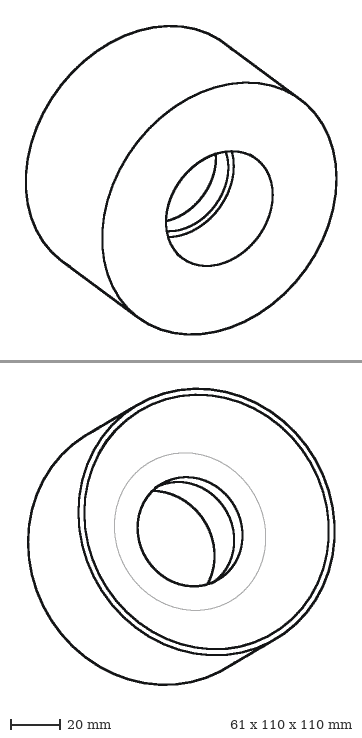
import cadquery as cq
import math

outer_diameter = 110.0
width = 61.0
left_face = -width / 2
right_face = width / 2

rim_thickness = 2.5
floor_diameter = 65.0
outer_radius = outer_diameter / 2
floor_radius = floor_diameter / 2
rim_radius = outer_radius - rim_thickness
dish_radius = rim_radius - floor_radius
floor_position = left_face + dish_radius

narrow_bore_diameter = 45.0
wide_bore_diameter = 50.0
narrow_bore_length = 10.0
narrow_bore_radius = narrow_bore_diameter / 2
wide_bore_radius = wide_bore_diameter / 2
step_position = floor_position + narrow_bore_length

dish_offset = dish_radius * math.sqrt(0.5)
dish_midpoint = (left_face + dish_offset, floor_radius + dish_offset)

half_section = (
    cq.Workplane("XY")
    .moveTo(left_face, outer_radius)
    .lineTo(left_face, rim_radius)
    .threePointArc(dish_midpoint, (floor_position, floor_radius))
    .lineTo(floor_position, narrow_bore_radius)
    .lineTo(step_position, narrow_bore_radius)
    .lineTo(step_position, wide_bore_radius)
    .lineTo(right_face, wide_bore_radius)
    .lineTo(right_face, outer_radius)
    .close()
)

result = half_section.revolve(360, (0, 0, 0), (1, 0, 0))